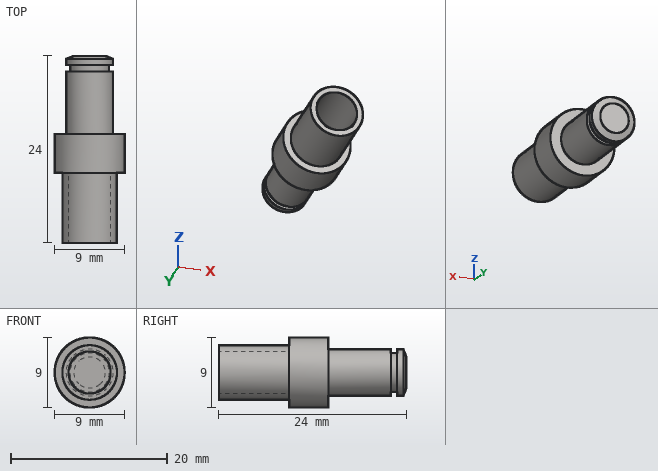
import cadquery as cq

socket_diameter = 7.0
socket_length = 9.0
bore_diameter = 5.4
bore_depth = socket_length

collar_diameter = 9.0
collar_length = 5.0

shaft_diameter = 6.0
shaft_length = 10.0

groove_diameter = 5.0
groove_width = 0.8
groove_to_tip = 1.2

tip_chamfer_length = 0.4
tip_chamfer_depth = 1.0

collar_start = socket_length
shaft_start = collar_start + collar_length
tip = shaft_start + shaft_length
groove_start = tip - groove_to_tip - groove_width


def cylinder(diameter, start, length):
    """Solid cylinder on the Y axis, running from Y = start toward +Y."""
    axis_plane = cq.Workplane("XZ", origin=(0, start, 0))
    return axis_plane.circle(diameter / 2).extrude(-length)


def chamfered_shaft():
    """Shaft with a shallow conical lead-in at its free end."""
    shaft_radius = shaft_diameter / 2
    half_profile = (
        cq.Workplane("YZ")
        .moveTo(shaft_start, 0)
        .lineTo(shaft_start, shaft_radius)
        .lineTo(tip - tip_chamfer_length, shaft_radius)
        .lineTo(tip, shaft_radius - tip_chamfer_depth)
        .lineTo(tip, 0)
        .close()
    )
    return half_profile.revolve(360, (0, 0, 0), (1, 0, 0))


def retaining_groove():
    """Ring removed from the shaft to form the retaining-ring groove."""
    outer = cylinder(shaft_diameter, groove_start, groove_width)
    core = cylinder(groove_diameter, groove_start, groove_width)
    return outer.cut(core)


socket = cylinder(socket_diameter, 0, socket_length)
collar = cylinder(collar_diameter, collar_start, collar_length)
shaft = chamfered_shaft().cut(retaining_groove())
bore = cylinder(bore_diameter, 0, bore_depth)

result = socket.union(collar).union(shaft).cut(bore)